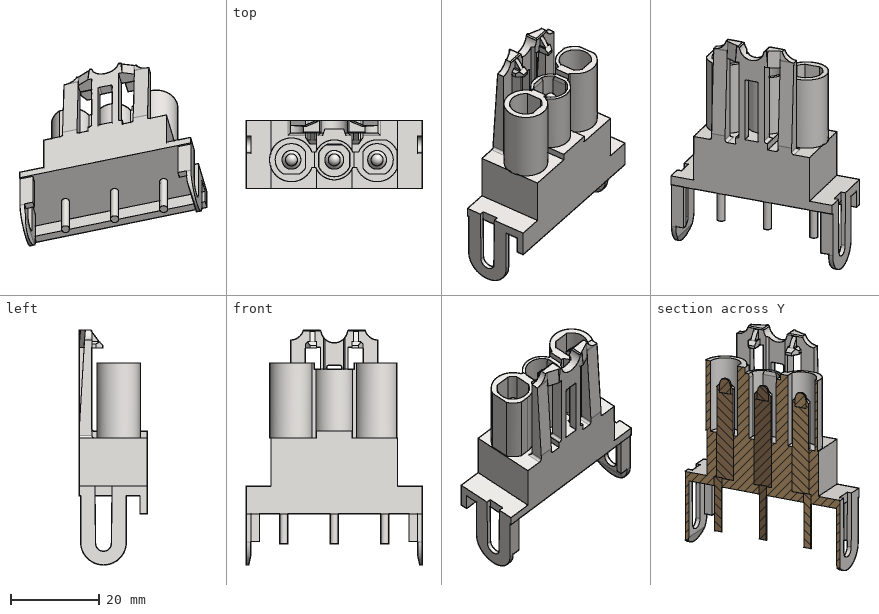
import cadquery as cq
import math

length = 40.0
depth = 15.5
back_y = depth / 2
front_y = -depth / 2
skirt_bottom_z = 11.65
plate_bottom_z = 15.7
step_top_z = 17.95
body_top_z = 28.85
body_length = 28.75
skirt_thickness = 1.7
raised_width = 8.0
raised_top_z = 30.4

pitch = 9.7
socket_y = -1.25
side_socket_radius = 4.95
side_socket_top_z = 45.85
center_socket_radius = 4.55
center_socket_top_z = 44.5
web_width = 3.6
web_inner_x = 4.51
side_cavity_radius = 3.7
side_cavity_flat = 3.2
center_cavity_radius = 3.85
center_cavity_flat = 3.4
lead_in_depth = 0.95
lead_in_width = 0.15
right_socket_flat_x = 14.2

latch_half_width = 9.95
latch_front_y = 4.85
latch_top_z = 53.4
shoulder_z = 51.1
scallop_radius = 3.05
center_scallop_bottom_z = 50.45
window_inner_x = 3.15
window_outer_x = 6.55
window_top_z = 49.4
panel_half_width = 2.15
panel_recess_half_width = 2.45
panel_front_y = 5.75
center_window_width = 3.3
center_window_top_z = 45.35
center_window_corner = 0.45
leg_taper = 1.25
peak_slant_x = 4.0
peak_relief_depth = 1.05
peak_lean = 5.0
peak_end_chamfer = 0.4
peak_top_inner_x = 3.3
top_chamfer = 0.25
root_fillet = 0.6

hook_tip_y = 2.35
hook_bottom_z = 49.25
hook_nose_z = 49.9
hook_top_z = 52.95
hook_shoulder_y = 3.25
hook_head_top_z = 50.8
hook_rib_inner_x = 4.4
hook_rib_outer_x = 5.5
hook_head_inner_x = 4.0
hook_head_corner = 0.65
hook_head_side_y = 3.95

clip_y = 2.215
clip_radius = 5.205
clip_thickness = 1.05
slot_bottom_radius = 1.75
slot_top_half_width = 1.9
slot_arc_z = 4.9
clip_bevel_width = 0.5
clip_bevel_height = 2.15
rib_length = 2.0
rib_thickness = 1.35
rib_bottom_z = 5.35

contact_diameter = 4.25
tip_diameter = 2.7
contact_top_z = 40.85
contact_cone_height = 0.9
tip_seat_depth = 2.15

solder_pin_diameter = 1.85
solder_pin_pitch = 11.5
solder_pin_bottom_z = 4.8

contact_xs = [-pitch, 0, pitch]
solder_pin_xs = [-solder_pin_pitch, 0, solder_pin_pitch]


def block(x0, x1, y0, y1, z0, z1):
    """Box between two opposite corners."""
    return cq.Workplane("XY").box(x1 - x0, y1 - y0, z1 - z0, centered=False).translate((x0, y0, z0))


def cylinder(x, y, radius, z0, z1):
    """Upright cylinder between two heights."""
    return cq.Workplane("XY").center(x, y).circle(radius).extrude(z1 - z0).translate((0, 0, z0))


def both_sides(shape):
    """The shape together with its mirror image across the X = 0 plane."""
    return shape.union(shape.mirror("YZ"))


def make_base():
    """Stepped block, open underneath behind the front skirt, with a raised pad on top."""
    base = block(-length / 2, length / 2, front_y, back_y, plate_bottom_z, step_top_z)
    base = base.union(
        block(-length / 2, length / 2, front_y, front_y + skirt_thickness, skirt_bottom_z, step_top_z)
    )
    base = base.union(
        block(-body_length / 2, body_length / 2, front_y, back_y, plate_bottom_z, body_top_z)
    )
    return base.union(
        block(-raised_width / 2, raised_width / 2, front_y, back_y, plate_bottom_z, raised_top_z)
    )


def make_clip():
    """Left board clip: a slotted tongue with a bevelled end and a stiffening rib."""
    outer_x = -length / 2
    inner_x = outer_x + clip_thickness
    clip = block(outer_x, inner_x, clip_y - clip_radius, clip_y + clip_radius, clip_radius, step_top_z)
    clip = clip.union(
        cq.Workplane("YZ").center(clip_y, clip_radius).circle(clip_radius)
        .extrude(clip_thickness).translate((outer_x, 0, 0))
    )
    bevel = (
        cq.Workplane("XZ")
        .polyline([(inner_x, clip_bevel_height), (inner_x, 0), (inner_x - clip_bevel_width, 0)])
        .close().extrude(2 * depth, both=True)
    )
    rib_back_y = clip_y + clip_radius
    rib = block(
        inner_x, inner_x + rib_length, rib_back_y - rib_thickness, rib_back_y, rib_bottom_z, step_top_z
    )
    return clip.cut(bevel).union(rib)


def make_clip_slot():
    """Round-ended slot of the left clip, which also notches the end of the base."""
    return (
        cq.Workplane("YZ")
        .moveTo(clip_y - slot_top_half_width, step_top_z)
        .lineTo(clip_y - slot_bottom_radius, slot_arc_z)
        .threePointArc(
            (clip_y, slot_arc_z - slot_bottom_radius), (clip_y + slot_bottom_radius, slot_arc_z)
        )
        .lineTo(clip_y + slot_top_half_width, step_top_z)
        .close().extrude(clip_thickness).translate((-length / 2, 0, 0))
    )


def make_latch_plate():
    """Scalloped plate with two side windows and a small window in its middle panel."""
    plate = block(
        -latch_half_width, latch_half_width, latch_front_y, back_y, body_top_z, latch_top_z
    )
    scallops = [
        (-latch_half_width, shoulder_z),
        (0, center_scallop_bottom_z),
        (latch_half_width, shoulder_z),
    ]
    for x, bottom_z in scallops:
        plate = plate.cut(
            cq.Workplane("XZ").center(x, bottom_z + scallop_radius)
            .circle(scallop_radius).extrude(depth, both=True)
        )
    window = block(
        window_inner_x, window_outer_x, latch_front_y, back_y, body_top_z, window_top_z
    )
    center_window = (
        block(
            -center_window_width / 2, center_window_width / 2, latch_front_y, back_y,
            raised_top_z, center_window_top_z,
        )
        .edges("|Y and >Z").fillet(center_window_corner)
    )
    return plate.cut(both_sides(window)).cut(center_window)


def make_latch_reliefs():
    """Cuts that thin the latch: panel recess, tapered legs, slanted peaks, and peak bevels."""
    panel_recess = (
        cq.Workplane("XY")
        .polyline([
            (-panel_recess_half_width, latch_front_y), (panel_recess_half_width, latch_front_y),
            (panel_half_width, panel_front_y), (-panel_half_width, panel_front_y),
        ])
        .close().extrude(latch_top_z - body_top_z).translate((0, 0, body_top_z))
    )
    leg_relief = (
        cq.Workplane("YZ")
        .polyline([
            (back_y, raised_top_z), (back_y, latch_top_z), (back_y - leg_taper, latch_top_z),
            (back_y - leg_taper, shoulder_z),
        ])
        .close().extrude(latch_half_width - window_outer_x).translate((window_outer_x, 0, 0))
    )
    peak_relief = (
        cq.Workplane("XY")
        .polyline([
            (peak_slant_x, back_y), (latch_half_width, back_y),
            (latch_half_width, back_y - peak_relief_depth), (window_outer_x, back_y - peak_relief_depth),
        ])
        .close().extrude(latch_top_z - window_top_z, taper=-peak_lean).translate((0, 0, window_top_z))
    )
    top_bevel = (
        cq.Workplane("YZ")
        .polyline([
            (latch_front_y, latch_top_z - top_chamfer), (latch_front_y, latch_top_z),
            (latch_front_y + top_chamfer, latch_top_z),
        ])
        .close().extrude(latch_half_width, both=True)
    )
    end_bevel = (
        cq.Workplane("XZ")
        .polyline([
            (0, latch_top_z), (peak_top_inner_x, latch_top_z),
            (peak_top_inner_x - peak_end_chamfer, latch_top_z - peak_end_chamfer),
            (0, latch_top_z - peak_end_chamfer),
        ])
        .close().extrude(depth, both=True)
    )
    return [
        panel_recess, both_sides(leg_relief), both_sides(peak_relief), both_sides(end_bevel), top_bevel,
    ]


def make_hook():
    """Right latch hook: a sloping rib that widens into a head with cut outer corners."""
    ramp = (
        cq.Workplane("YZ")
        .polyline([
            (latch_front_y, hook_bottom_z), (hook_tip_y, hook_bottom_z),
            (hook_tip_y, hook_nose_z), (hook_shoulder_y, hook_head_top_z),
            (latch_front_y, hook_top_z),
        ])
        .close().extrude(latch_half_width)
    )
    rib = block(
        hook_rib_inner_x, hook_rib_outer_x, hook_tip_y, latch_front_y, hook_bottom_z, hook_top_z
    )
    head_plan = (
        cq.Workplane("XY")
        .polyline([
            (hook_head_inner_x, latch_front_y), (hook_head_inner_x, hook_tip_y),
            (hook_rib_outer_x, hook_tip_y), (window_outer_x, hook_head_side_y),
            (window_outer_x, latch_front_y),
        ])
        .close().extrude(hook_head_top_z - hook_bottom_z).translate((0, 0, hook_bottom_z))
    )
    head = head_plan.edges("|Y and >X and >Z").chamfer(hook_head_corner)
    return rib.union(head).intersect(ramp)


def make_sockets():
    """Three contact shrouds joined by webs; the right one has two flats and a thinner rear quarter."""
    left = cylinder(-pitch, socket_y, side_socket_radius, body_top_z, side_socket_top_z)
    right = cylinder(pitch, socket_y, side_socket_radius, body_top_z, side_socket_top_z).intersect(
        block(
            0, right_socket_flat_x, front_y, socket_y + center_socket_radius,
            body_top_z, side_socket_top_z,
        )
    )
    thin_quarter = block(0, pitch, socket_y, back_y, body_top_z, side_socket_top_z).cut(
        cylinder(pitch, socket_y, center_socket_radius, body_top_z, side_socket_top_z)
    )
    right = right.cut(thin_quarter)
    center = cylinder(0, socket_y, center_socket_radius, body_top_z, center_socket_top_z)
    web = block(
        web_inner_x, pitch, socket_y - web_width / 2, socket_y + web_width / 2,
        body_top_z, side_socket_top_z,
    )
    inner_web = block(
        0, web_inner_x, socket_y - web_width / 2, socket_y + web_width / 2,
        body_top_z, center_socket_top_z,
    )
    return left.union(right).union(center).union(both_sides(web)).union(both_sides(inner_web))


def make_side_cavity():
    """Right socket bore with flats facing the middle socket and the front."""
    bore = cylinder(pitch, socket_y, side_cavity_radius, body_top_z, side_socket_top_z)
    return bore.intersect(
        block(
            pitch - side_cavity_flat, pitch + side_cavity_radius,
            socket_y - side_cavity_flat, socket_y + side_cavity_radius,
            body_top_z, side_socket_top_z,
        )
    )


def make_center_cavity():
    """Middle socket bore with flats on three sides that flare out at the rim."""
    lead_in_half = center_cavity_flat + lead_in_width
    bore = cylinder(0, socket_y, center_cavity_radius, body_top_z, center_socket_top_z)
    flats = block(
        -center_cavity_flat, center_cavity_flat,
        socket_y - center_cavity_radius, socket_y + center_cavity_flat,
        body_top_z, center_socket_top_z,
    )
    lead_in = (
        cq.Workplane("XY", origin=(0, socket_y - lead_in_half, center_socket_top_z))
        .rect(2 * lead_in_half, 4 * lead_in_half)
        .extrude(-lead_in_depth, taper=math.degrees(math.atan(lead_in_width / lead_in_depth)))
    )
    return bore.intersect(flats.union(lead_in))


def make_contact(x):
    """Contact: a cylinder with a conical end and a seat for its tip."""
    cone_width = (contact_diameter - tip_diameter) / 2
    contact = (
        cylinder(x, socket_y, contact_diameter / 2, step_top_z, contact_top_z)
        .faces(">Z").chamfer(contact_cone_height, cone_width)
    )
    seat_z = contact_top_z - tip_seat_depth
    return contact.cut(cylinder(x, socket_y, tip_diameter / 2, seat_z, contact_top_z))


def make_tip(x):
    """Domed tip seated in the end of a contact."""
    radius = tip_diameter / 2
    shank = cylinder(x, socket_y, radius, contact_top_z - tip_seat_depth, contact_top_z)
    dome = cq.Workplane("XY").sphere(radius).translate((x, socket_y, contact_top_z))
    return shank.union(dome)


def make_solder_pin(x):
    """Round solder pin that meets the underside of the contacts."""
    return cylinder(x, socket_y, solder_pin_diameter / 2, solder_pin_bottom_z, step_top_z)


def fillet_latch_foot(housing, side, inner_x, outer_x, foot_z):
    """Round the foot of one latch upright; side is +1 for right and -1 for left."""
    margin = 0.05
    foot_edges = cq.selectors.BoxSelector(
        (side * (inner_x - margin), latch_front_y - margin, foot_z - margin),
        (side * (outer_x + margin), back_y + margin, foot_z + margin),
    )
    return housing.edges(foot_edges).fillet(root_fillet)


def make_housing():
    """Base, board clips, sockets and snap latch in one piece, bored for the contacts and pins."""
    housing = make_base().union(both_sides(make_clip())).cut(both_sides(make_clip_slot()))
    latch = make_latch_plate()
    for relief in make_latch_reliefs():
        latch = latch.cut(relief)
    housing = housing.union(latch)
    for side in (-1, 1):
        housing = fillet_latch_foot(housing, side, window_outer_x, latch_half_width, body_top_z)
        housing = fillet_latch_foot(housing, side, panel_recess_half_width, window_inner_x, raised_top_z)
    housing = housing.union(both_sides(make_hook())).union(make_sockets())
    housing = housing.cut(both_sides(make_side_cavity())).cut(make_center_cavity())
    for x in contact_xs:
        housing = housing.cut(cylinder(x, socket_y, contact_diameter / 2, step_top_z, body_top_z))
    for x in solder_pin_xs:
        housing = housing.cut(make_solder_pin(x))
    return housing


housing = make_housing()
contacts = [make_contact(x).val() for x in contact_xs]
tips = [make_tip(x).val() for x in contact_xs]
solder_pins = [make_solder_pin(x).val() for x in solder_pin_xs]

result = cq.Compound.makeCompound([housing.val(), *contacts, *tips, *solder_pins])